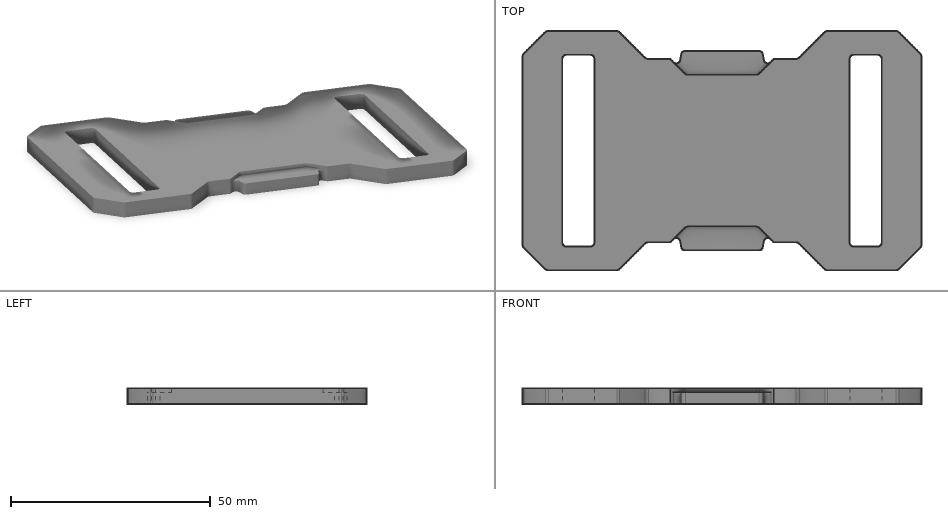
import cadquery as cq
import math

length = 100.0
width = 60.0
thickness = 4.0
half_length = length / 2
half_width = width / 2
corner_chamfer = 6.0
corner_radius = 1.0

waist_half_width = 23.0
shoulder_x = 26.0
waist_start_x = shoulder_x - (half_width - waist_half_width)
waist_radius = 1.3

slot_length = 48.0
slot_width = 8.0
slot_center_x = 36.0
slot_radius = 1.0

recess_floor_y = 19.0
recess_mouth_x = 13.0
recess_floor_x = recess_mouth_x - (waist_half_width - recess_floor_y)
recess_depth = 1.0
recess_radius = 1.0
tab_outer_y = 25.0
tab_half_width = 10.1
tab_radius = 1.0
tab_height = thickness - recess_depth
notch_radius = 1.0

recess_angle = math.radians(45)
tab_taper = math.radians(10)
taper_slope = math.tan(tab_taper)
recess_offset = recess_floor_y - recess_floor_x
notch_corner_x = (tab_half_width + (tab_outer_y - recess_offset) * taper_slope) / (1 + taper_slope)
notch_corner_y = notch_corner_x + recess_offset

side_angle = math.pi / 2 + tab_taper
notch_tangent = notch_radius / math.tan((side_angle - recess_angle) / 2)
notch_edge_x = notch_corner_x + notch_tangent * math.cos(recess_angle)
notch_edge_y = notch_corner_y + notch_tangent * math.sin(recess_angle)
notch_end_x = notch_corner_x + notch_tangent * math.cos(side_angle)
notch_end_y = notch_corner_y + notch_tangent * math.sin(side_angle)


def round_corners(body, x, y, radius):
    """Round the four vertical edges mirrored from the corner at (x, y)."""
    for corner_x in (-x, x):
        for corner_y in (-y, y):
            edge = body.edges(cq.NearestToPointSelector((corner_x, corner_y, thickness / 2)))
            body = edge.fillet(radius)
    return body


def make_plate():
    """Plate outline, including the open recesses at both long sides."""
    upper_side = [
        (-half_length, half_width - corner_chamfer),
        (-half_length + corner_chamfer, half_width),
        (-shoulder_x, half_width),
        (-waist_start_x, waist_half_width),
        (-recess_mouth_x, waist_half_width),
        (-recess_floor_x, recess_floor_y),
    ]
    upper_side += [(-x, y) for x, y in reversed(upper_side)]
    lower_side = [(x, -y) for x, y in reversed(upper_side)]
    plate = cq.Workplane("XY").polyline(upper_side + lower_side).close().extrude(thickness)

    for x, y, radius in (
        (half_length, half_width - corner_chamfer, corner_radius),
        (half_length - corner_chamfer, half_width, corner_radius),
        (shoulder_x, half_width, corner_radius),
        (waist_start_x, waist_half_width, waist_radius),
        (recess_floor_x, recess_floor_y, recess_radius),
    ):
        plate = round_corners(plate, x, y, radius)
    return plate


def make_tab():
    """Tab on the +Y side, with a concave rounded notch at each end of its root."""
    overlap_y = recess_floor_y - recess_radius
    tab = (
        cq.Workplane("XY")
        .moveTo(-recess_floor_x, overlap_y)
        .lineTo(-recess_floor_x, recess_floor_y)
        .lineTo(-notch_edge_x, notch_edge_y)
        .radiusArc((-notch_end_x, notch_end_y), -notch_radius)
        .lineTo(-tab_half_width, tab_outer_y)
        .lineTo(tab_half_width, tab_outer_y)
        .lineTo(notch_end_x, notch_end_y)
        .radiusArc((notch_edge_x, notch_edge_y), -notch_radius)
        .lineTo(recess_floor_x, recess_floor_y)
        .lineTo(recess_floor_x, overlap_y)
        .close()
        .extrude(tab_height)
    )
    return tab.faces(">Y").edges("|Z").fillet(tab_radius)


slots = (
    cq.Workplane("XY")
    .pushPoints([(-slot_center_x, 0), (slot_center_x, 0)])
    .rect(slot_width, slot_length)
    .extrude(thickness)
    .edges("|Z")
    .fillet(slot_radius)
)

tab = make_tab()
result = make_plate().cut(slots).union(tab).union(tab.mirror("XZ"))